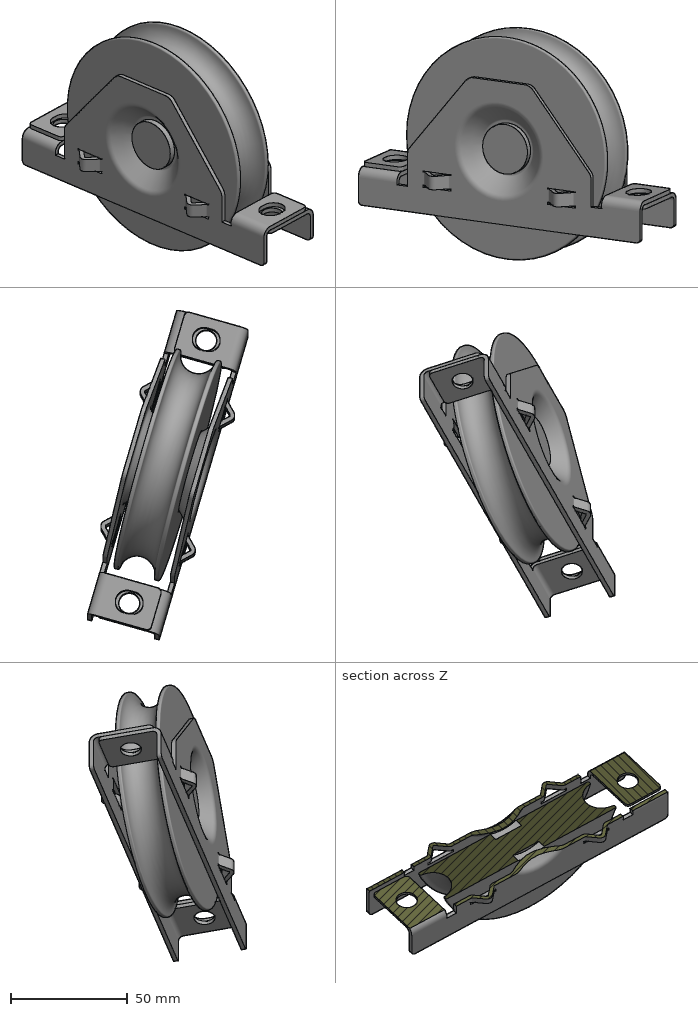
import cadquery as cq
import math


length = 138.0
depth = 32.0
sheet = 2.0
bend_inner = 2.1
corner_radius = 2.0
face_y = -depth / 2
bend_outer = bend_inner + sheet

plate_bottom = -32.0
plate_top = 31.2
shoulder_z = -5.0
shoulder_half = 45.0
crest_half = 15.0
outline_radius = 5.0

flange_length = 18.9
flange_top = -14.0
flange_tip_y = depth / 2 - bend_outer
relief = 1.0
hole_diameter = 9.0
slot_length = 12.0
slot_width = 10.0

dish_angle = math.radians(45)
dish_mouth_radius = 21.7
dish_back_radius = 22.5
dish_floor_radius = 25.3 / 2
dish_flat_radius = 23.9 / 2
dish_front_bend = 3.3
dish_back_bend = 2.1

loop_x = 30.5
loop_z = -16.4
loop_height = 6.0
loop_rise = 5.0
loop_bend_inner = 0.5
loop_bend_outer = loop_bend_inner + sheet
window_length = 13.5
window_height = 7.2
window_z = -16.7

wheel_radius = 49.0
wheel_width = 20.0
groove_radius = 8.0
rim_fillet = 0.7
hub_recess_radius = 18.2

shaft_radius = 16.8 / 2
head_radius = 22.0 / 2
head_height = 2.8

half_angle_tangent = math.tan(dish_angle / 2)
dish_front_corner = dish_mouth_radius - dish_front_bend * half_angle_tangent
dish_back_corner = dish_back_radius - dish_back_bend * half_angle_tangent
floor_bend = (dish_floor_radius - dish_flat_radius) / math.sin(dish_angle)
dish_floor_corner = dish_flat_radius + floor_bend * half_angle_tangent
dish_depth = (dish_front_corner - dish_floor_corner) / math.tan(dish_angle)
floor_y = face_y + dish_depth
hub_half = -(floor_y + sheet)


def make_plate():
    """Flat plate with its raised centre and the notches beside the flanges."""
    right_notch = flange_top - bend_outer - relief
    left_notch = right_notch - sheet
    end = length / 2
    plate = (
        cq.Workplane("XZ", origin=(0, face_y + sheet, 0))
        .polyline([
            (-end, plate_bottom), (end, plate_bottom),
            (end, right_notch), (shoulder_half, right_notch),
            (shoulder_half, shoulder_z), (crest_half, plate_top),
            (-crest_half, plate_top), (-shoulder_half, shoulder_z),
            (-shoulder_half, left_notch), (-end, left_notch),
        ])
        .close()
        .extrude(sheet)
    )
    plate = plate.edges("|Y and <Z").fillet(corner_radius)
    crown = cq.selectors.BoxSelector(
        (-end, -depth, shoulder_z - outline_radius), (end, depth, plate_top + outline_radius)
    )
    return plate.edges("|Y").edges(crown).fillet(outline_radius)


def make_flange(x_start, top):
    """Flange bent from the top of the plate over to the other bracket."""
    root = top - bend_outer - relief - sheet
    bend_y = face_y + bend_outer
    bend_z = top - bend_outer
    flange = (
        cq.Workplane("YZ", origin=(x_start, 0, 0))
        .moveTo(face_y, root)
        .lineTo(face_y, bend_z)
        .radiusArc((bend_y, top), bend_outer)
        .lineTo(flange_tip_y, top)
        .lineTo(flange_tip_y, top - sheet)
        .lineTo(bend_y, top - sheet)
        .radiusArc((face_y + sheet, bend_z), -bend_inner)
        .lineTo(face_y + sheet, root)
        .close()
        .extrude(flange_length)
    )
    return flange.edges("|Z and >Y").fillet(corner_radius)


def arc_point(start, bend_radius, angle):
    """Point on a dish bend that leaves the flat at start, turned by angle."""
    start_radius, start_y = start
    return (
        start_radius - bend_radius * math.sin(angle),
        start_y + bend_radius * (1 - math.cos(angle)),
    )


def make_dish():
    """Sheet dish around the axle, revolved about Y, with the axle hole in its floor."""
    half_angle = dish_angle / 2
    front = (dish_mouth_radius, face_y)
    back = (dish_back_radius, face_y + sheet)
    floor_rim = (dish_flat_radius, floor_y)
    back_y = floor_y + sheet
    back_floor_radius = dish_back_corner - dish_depth * math.tan(dish_angle)
    return (
        cq.Workplane("XY")
        .moveTo(dish_back_radius, face_y)
        .lineTo(*front)
        .threePointArc(
            arc_point(front, dish_front_bend, half_angle),
            arc_point(front, dish_front_bend, dish_angle),
        )
        .lineTo(*arc_point(floor_rim, -floor_bend, dish_angle))
        .threePointArc(arc_point(floor_rim, -floor_bend, half_angle), floor_rim)
        .lineTo(shaft_radius, floor_y)
        .lineTo(shaft_radius, back_y)
        .lineTo(back_floor_radius, back_y)
        .lineTo(*arc_point(back, dish_back_bend, dish_angle))
        .threePointArc(arc_point(back, dish_back_bend, half_angle), back)
        .close()
        .revolve(360, (0, 0, 0), (0, 1, 0))
    )


def make_loop(x):
    """Strip across the window, bent outwards into a V with legs at 45 degrees."""
    inner_y = face_y + sheet
    end = window_length / 2
    apex_y = face_y - loop_rise - loop_bend_outer * (math.sqrt(2) - 1)
    foot = face_y - apex_y
    inner_apex_y = apex_y + sheet * math.sqrt(2)
    inner_foot = inner_y - inner_apex_y
    strip = (
        cq.Workplane("XY", origin=(x, 0, loop_z - loop_height / 2))
        .polyline([
            (-end, face_y), (-foot, face_y), (0, apex_y), (foot, face_y), (end, face_y),
            (end, inner_y), (inner_foot, inner_y), (0, inner_apex_y),
            (-inner_foot, inner_y), (-end, inner_y),
        ])
        .close()
        .extrude(loop_height)
    )
    tight_bends = [(-foot, face_y), (foot, face_y), (0, inner_apex_y)]
    wide_bends = [(-inner_foot, inner_y), (inner_foot, inner_y), (0, apex_y)]
    for corners, bend_radius in ((tight_bends, loop_bend_inner), (wide_bends, loop_bend_outer)):
        for corner_x, corner_y in corners:
            edge = cq.selectors.NearestToPointSelector((x + corner_x, corner_y, loop_z))
            strip = strip.edges("|Z").edges(edge).fillet(bend_radius)
    return strip


def make_bracket():
    """The -Y bracket, with its upper flange at +X and its lower one at -X."""
    right_start = length / 2 - flange_length
    hole_x = (length - flange_length) / 2
    bracket = make_plate()
    bracket = bracket.union(make_flange(right_start, flange_top))
    bracket = bracket.union(make_flange(-length / 2, flange_top - sheet))

    slot = (
        cq.Workplane("XY", origin=(hole_x, 0, flange_top - sheet))
        .slot2D(slot_length, slot_width, 90)
        .extrude(sheet)
    )
    hole = (
        cq.Workplane("XY", origin=(-hole_x, 0, flange_top - 2 * sheet))
        .circle(hole_diameter / 2)
        .extrude(sheet)
    )
    bracket = bracket.cut(slot).cut(hole)

    mouth = cq.Workplane("XZ", origin=(0, face_y + sheet, 0)).circle(dish_back_radius).extrude(sheet)
    bracket = bracket.cut(mouth).union(make_dish())

    for x in (-loop_x, loop_x):
        window = (
            cq.Workplane("XZ", origin=(x, face_y + sheet, window_z))
            .rect(window_length, window_height)
            .extrude(sheet)
        )
        bracket = bracket.cut(window).union(make_loop(x))
    return bracket


def make_wheel():
    """Wheel with a half-round rope groove and a hub recess on each side."""
    half_width = wheel_width / 2
    disc = cq.Workplane("XZ", origin=(0, half_width, 0)).circle(wheel_radius).extrude(wheel_width)
    groove = (
        cq.Workplane("XY", origin=(wheel_radius, 0, 0))
        .circle(groove_radius)
        .revolve(360, (-wheel_radius, 0, 0), (-wheel_radius, 1, 0))
    )
    wheel = disc.cut(groove)
    rim_edges = cq.selectors.RadiusNthSelector(-1)
    wheel = wheel.edges("%CIRCLE").edges(rim_edges).fillet(rim_fillet)
    for outer_y in (half_width, -hub_half):
        recess = (
            cq.Workplane("XZ", origin=(0, outer_y, 0))
            .circle(hub_recess_radius)
            .extrude(half_width - hub_half)
        )
        wheel = wheel.cut(recess)
    bore = cq.Workplane("XZ", origin=(0, half_width, 0)).circle(shaft_radius).extrude(wheel_width)
    return wheel.cut(bore)


def make_axle():
    """Shaft with a flat head seated on each dish floor."""
    head_y = floor_y - head_height
    return (
        cq.Workplane("XY")
        .polyline([
            (0, head_y), (head_radius, head_y), (head_radius, floor_y),
            (shaft_radius, floor_y), (shaft_radius, 0), (0, 0),
        ])
        .close()
        .revolve(360, (0, 0, 0), (0, 1, 0))
        .mirror("XZ", union=True)
    )


brackets = []
for turn in (0, 180):
    brackets.append(make_bracket().rotate((0, 0, 0), (0, 0, 1), turn))
wheel = make_wheel()
axle = make_axle()

result = cq.Compound.makeCompound([*[bracket.val() for bracket in brackets], wheel.val(), axle.val()])